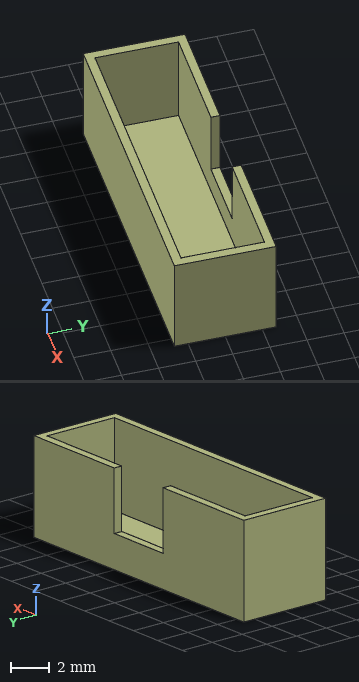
import cadquery as cq

length = 17.2
width = 5.5
height = 5.6

wall = 0.5

notch_length = 4.0
notch_depth = 3.6


def make_box():
    """Outer block standing on Z = 0, centred on X and Y."""
    return cq.Workplane("XY").box(length, width, height, centered=(True, True, False))


def make_cavity():
    """Space inside the walls, from the floor up to the open top."""
    return (
        cq.Workplane("XY")
        .workplane(offset=wall)
        .box(length - 2 * wall, width - 2 * wall, height - wall, centered=(True, True, False))
    )


def make_notch():
    """Rectangular opening through the +Y wall only."""
    return (
        cq.Workplane("XY")
        .workplane(offset=height - notch_depth)
        .center(0, width / 2 - wall / 2)
        .box(notch_length, wall, notch_depth, centered=(True, True, False))
    )


result = make_box().cut(make_cavity()).cut(make_notch())